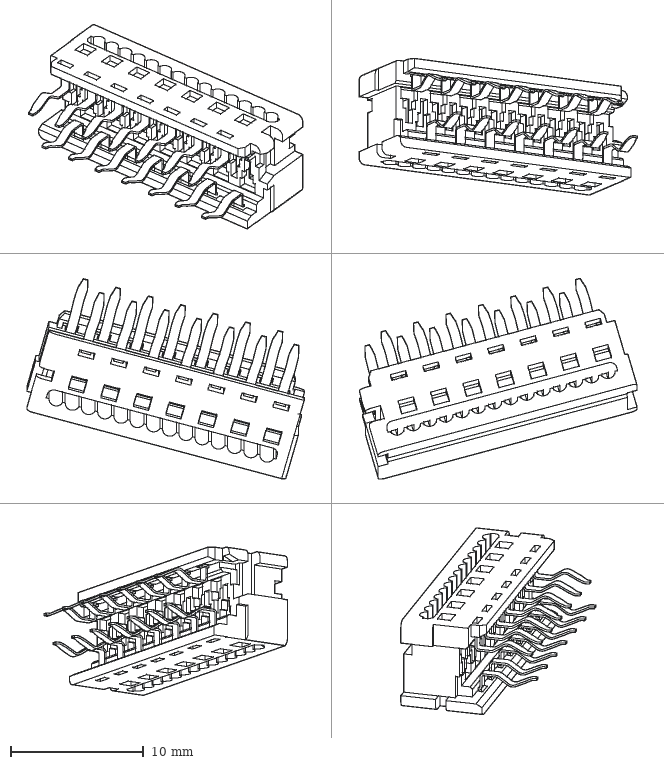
import cadquery as cq
import math

length = 20.3
height = 7.0
body_front = -4.38
bar_front = -5.25
lip_front = -6.4
overlap = 0.2

contact_count = 14
first_contact_x = 1.89
contact_span = 16.52
pitch = contact_span / (contact_count - 1)
contact_xs = [first_contact_x + i * pitch for i in range(contact_count)]
upper_xs = contact_xs[0::2]
lower_xs = contact_xs[1::2]

plate_thickness = 0.97
bar_thickness = 0.8
bar_chamfer = 0.18
body_left = 0.75
body_right = 19.52
corner_radius = 0.5
lip_chamfer_y = 0.47
lip_chamfer_z = 0.25
lip_corner_x = 0.3
lip_left = 0.9
lip_right = 19.38
upper_bar_right = 19.15
lower_bar_left = 1.3
lower_plate_right = 19.95
upper_plate_bottom = height - plate_thickness
upper_bar_bottom = upper_plate_bottom - bar_thickness
lower_bar_top = plate_thickness + bar_thickness

latch_rear = -2.5
latch_front = -3.55
latch_left_depth = 0.26
latch_right_x = 19.11
side_block_top = 3.51
ramp_height = 0.35
side_step_top = 2.62
flange_ramp_length = latch_front - body_front
upper_recess_bottom = 4.32
end_recess_rear = -3.81
bar_notch_left = 18.93
bar_notch_bottom = 5.55
lower_slot_rear = -2.74
lower_slot_depth = length - latch_right_x
lower_left_corner_y = -4.08
lower_left_corner_top = 2.7

groove_bottom = 4.08
groove_top = 5.05
groove_depth = 0.65

channel_left = 1.14
channel_right = 19.13
channel_rear = -1.38
channel_front = -2.15
channel_corner = 0.5
scallop_radius = 0.55
scallop_top = -0.95

window_width = 1.2
window_step_y = -3.19
window_rear_depth = 0.5
window_front_depth = 1.01
pin_window_front = -5.7
wide_pocket = 1.42
wide_pocket_height = 0.85
mid_pocket = 1.05
mid_pocket_height = 0.71
slot_width = 0.57
slot_end_height = 2.5
slit_width = 0.49
pocket_gap = 0.06
pocket_depth = 0.57
slot_depth = 0.6

pin_width = 0.75
pin_thickness = 0.152
pin_tip_y = -9.8
pin_taper_y = -9.0
pin_tip_width = 0.37
pin_root_y = -5.07
pin_leg_y = -5.48
pin_flat_z = 2.25
pin_bend_y = -6.78
pin_apex_y = -7.91
pin_apex_rise = 0.75
pin_return_y = -9.45
pin_corner_radius = 0.2
pin_apex_radius = 0.57
pin_bend_radius = 0.53


def block(x0, x1, y0, y1, z0, z1):
    """Axis-aligned box between two corners."""
    return cq.Workplane("XY").box(x1 - x0, y1 - y0, z1 - z0, centered=False).translate((x0, y0, z0))


def prism_along_x(points, x0, x1):
    """Prism with a (y, z) outline between two X positions."""
    return cq.Workplane("YZ").polyline(points).close().extrude(x1 - x0).translate((x0, 0, 0))


def flip(shape):
    """Turn an upper-row feature into its lower-row counterpart."""
    return shape.mirror("XY", (0, 0, height / 2))


def repeat(shape, xs):
    """Copy a shape centred on X = 0 to each position of a row."""
    copies = [shape.val().moved(cq.Location(cq.Vector(x, 0, 0))) for x in xs]
    return cq.Workplane("XY").newObject([cq.Compound.makeCompound(copies)])


def lower_plate(x0, x1):
    """Base plate with a sloped upper front edge."""
    outline = [
        (0, 0),
        (lip_front, 0),
        (lip_front, plate_thickness - lip_chamfer_z),
        (lip_front + lip_chamfer_y, plate_thickness),
        (0, plate_thickness),
    ]
    return prism_along_x(outline, x0, x1)


def lower_bar(x0, x1):
    """Bar on the base plate with a bevelled upper front edge."""
    outline = [
        (0, 0),
        (bar_front, 0),
        (bar_front, lower_bar_top - bar_chamfer),
        (bar_front + bar_chamfer, lower_bar_top),
        (0, lower_bar_top),
    ]
    return prism_along_x(outline, x0, x1)


def upper_part():
    """Top plate with its front lip, rounded end edges, hanging bar and end latch cuts."""
    plate = block(0, length, bar_front, 0, upper_plate_bottom, height)
    plate = plate.union(flip(lower_bar(0, upper_bar_right)))
    plate = plate.edges("|Y and >Z").fillet(corner_radius)

    lip_outline = [
        (lip_left, bar_front + overlap),
        (lip_left, lip_front + lip_chamfer_y),
        (lip_left + lip_corner_x, lip_front),
        (lip_right - lip_corner_x, lip_front),
        (lip_right, lip_front + lip_chamfer_y),
        (lip_right, bar_front + overlap),
    ]
    lip = cq.Workplane("XY").polyline(lip_outline).close().extrude(height)
    plate = plate.union(lip.intersect(flip(lower_plate(0, length))))

    plate = plate.cut(block(0, latch_left_depth, bar_front, latch_rear, 0, height))
    ramp = [
        (bar_front, upper_plate_bottom),
        (bar_front, upper_plate_bottom + ramp_height),
        (bar_front + flange_ramp_length, upper_plate_bottom),
    ]
    return plate.cut(prism_along_x(ramp, body_right, length))


def lower_part():
    """Base plate with rounded end edges, bar and latch block on the right-hand end."""
    side_outline = [
        (0, 0),
        (body_front, 0),
        (body_front, side_block_top - ramp_height),
        (latch_front, side_block_top),
        (0, side_block_top),
    ]
    base = prism_along_x(side_outline, body_right - overlap, length)
    base = base.union(block(0, length, body_front, 0, 0, plate_thickness))
    base = base.union(lower_plate(0, lower_plate_right))
    base = base.cut(block(lower_plate_right, length, lip_front, latch_front, 0, side_step_top))
    base = base.edges("|Y and <Z and (<X or >X)").fillet(corner_radius)
    return base.union(lower_bar(lower_bar_left, lower_plate_right))


def core():
    """Central body between the two plates."""
    body = block(body_left, body_right, body_front, 0, 0, height - corner_radius)
    corner = block(
        body_left, lower_bar_left, body_front, lower_left_corner_y, plate_thickness, lower_left_corner_top
    )
    return body.cut(corner)


def cable_channel():
    """Through channel for the ribbon cable, with one scallop per conductor."""
    channel = block(channel_left, channel_right, channel_front, channel_rear, 0, height)
    channel = channel.edges("|Z and <Y").fillet(channel_corner)
    scallop = cq.Workplane("XY").circle(scallop_radius).extrude(height)
    scallop = scallop.translate((0, scallop_top - scallop_radius, 0))
    for x in contact_xs:
        channel = channel.union(scallop.translate((x, 0, 0)))
    return channel


def contact_opening():
    """Stepped window, pin window and stepped front pocket of one upper contact."""

    def pocket(width, y0, y1, z0, z1):
        return block(-width / 2, width / 2, y0, y1, z0, z1)

    pocket_top = upper_bar_bottom - pocket_gap
    wide_bottom = pocket_top - wide_pocket_height
    mid_bottom = wide_bottom - mid_pocket_height
    slot_top = height - slot_end_height
    opening = pocket(window_width, latch_front, latch_rear, height - window_rear_depth, height)
    opening = opening.union(
        pocket(window_width, latch_front, window_step_y, height - window_front_depth, height)
    )
    pocket_back = body_front + pocket_depth
    opening = opening.union(pocket(wide_pocket, body_front, pocket_back, wide_bottom, pocket_top))
    opening = opening.union(pocket(mid_pocket, body_front, pocket_back, mid_bottom, pocket_top))
    opening = opening.union(
        pocket(slot_width, body_front, body_front + slot_depth, slot_end_height, slot_top)
    )
    opening = opening.union(pocket(slit_width, body_front, channel_front, slot_end_height, slot_top))
    return opening.union(pocket(window_width, pin_window_front, bar_front, upper_plate_bottom, height))


def toward(start, end, distance):
    """Point at a distance from start on the way to end."""
    span = math.dist(start, end)
    return tuple(a + (b - a) * distance / span for a, b in zip(start, end))


def turn_angle(before, corner, after):
    """Change of direction at a corner of a bent path, in radians."""
    heading_in = math.atan2(corner[1] - before[1], corner[0] - before[0])
    heading_out = math.atan2(after[1] - corner[1], after[0] - corner[0])
    return abs(math.remainder(heading_out - heading_in, math.tau))


def lower_pin():
    """Bent strip pin of the lower row with a tapered tip."""
    half = pin_thickness / 2
    root_z = plate_thickness + half
    path_points = [
        (pin_root_y, root_z),
        (pin_leg_y, root_z),
        (pin_leg_y, pin_flat_z),
        (pin_bend_y, pin_flat_z),
        (pin_apex_y, pin_flat_z - pin_apex_rise),
        (pin_return_y, pin_flat_z),
        (pin_tip_y - overlap, pin_flat_z),
    ]
    radii = [pin_corner_radius, pin_corner_radius, pin_bend_radius, pin_apex_radius, pin_bend_radius]

    path = cq.Workplane("YZ").moveTo(*path_points[0])
    for before, corner, after, radius in zip(path_points, path_points[1:], path_points[2:], radii):
        turn = turn_angle(before, corner, after)
        tangent = radius * math.tan(turn / 2)
        start = toward(corner, before, tangent)
        end = toward(corner, after, tangent)
        chord_middle = toward(start, end, math.dist(start, end) / 2)
        middle = toward(corner, chord_middle, radius / math.cos(turn / 2) - radius)
        path = path.lineTo(*start).threePointArc(middle, end)
    path = path.lineTo(*path_points[-1]).wire()
    strip = path.offset2D(half).extrude(pin_width / 2, both=True)

    plan = [
        (-pin_width / 2, pin_root_y),
        (-pin_width / 2, pin_taper_y),
        (-pin_tip_width / 2, pin_tip_y),
        (pin_tip_width / 2, pin_tip_y),
        (pin_width / 2, pin_taper_y),
        (pin_width / 2, pin_root_y),
    ]
    return strip.intersect(cq.Workplane("XY").polyline(plan).close().extrude(height))


rear_groove = block(0, length, -groove_depth, 0, groove_bottom, groove_top)
right_latch_pocket = block(latch_right_x, length, latch_front, latch_rear, side_block_top, height)
left_latch_slot = block(0, lower_slot_depth, latch_front, lower_slot_rear, 0, plate_thickness)
end_recess = block(
    upper_bar_right, length, bar_front, end_recess_rear, upper_recess_bottom, upper_plate_bottom
)
bar_notch = block(
    bar_notch_left, length, bar_front, end_recess_rear, bar_notch_bottom, upper_plate_bottom
)
housing = core().union(upper_part()).union(lower_part())
for cutout in (rear_groove, right_latch_pocket, left_latch_slot, end_recess, bar_notch, cable_channel()):
    housing = housing.cut(cutout)
opening = contact_opening()
housing = housing.cut(repeat(opening, upper_xs))
housing = housing.cut(repeat(flip(opening), lower_xs))

pin = lower_pin()
result = housing.union(repeat(flip(pin), upper_xs)).union(repeat(pin, lower_xs))